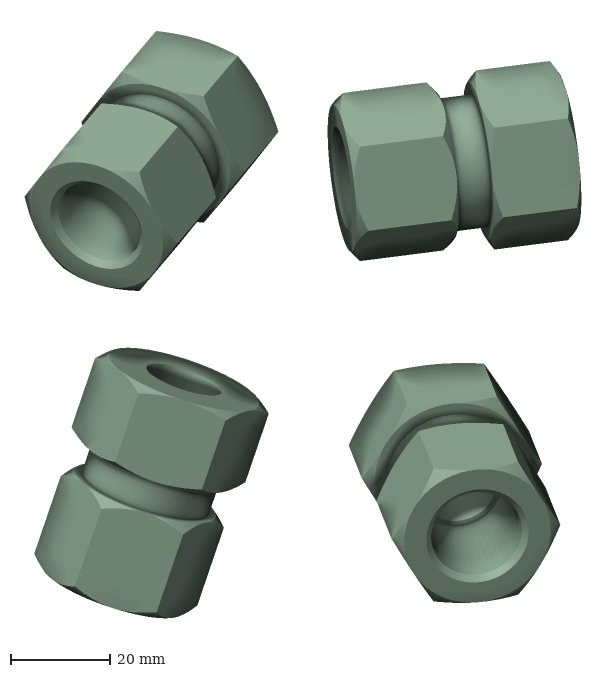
import cadquery as cq
import math

total_length = 46.0
small_flats = 30.0
small_length = 21.0
large_flats = 32.0
large_length = 18.0
neck_diameter = 27.0
small_chamfer_angle = 40.0
large_chamfer_angle = 30.0
bore_diameter = 16.0
socket_diameter = 18.6
mouth_diameter = 21.0
mouth_depth = 1.2
socket_depth = 23.0

front_y = -total_length / 2
back_y = total_length / 2
neck_length = total_length - small_length - large_length


def revolve_profile(points):
    """Revolve (radius, y) points around the Y axis."""
    return cq.Workplane("XY").polyline(points).close().revolve(360, (0, 0, 0), (0, 1, 0))


def chamfered_hex(start_y, length, flats, chamfer_angle):
    """Hexagonal bar along +Y, corners on X, with both ends turned to a cone."""
    corner_radius = flats / math.sqrt(3)
    face_radius = flats / 2
    chamfer_depth = (corner_radius - face_radius) * math.tan(math.radians(chamfer_angle))
    end_y = start_y + length
    bar = (
        cq.Workplane("XZ", origin=(0, start_y, 0))
        .polygon(6, 2 * corner_radius)
        .extrude(-length)
    )
    turned_envelope = revolve_profile([
        (0, start_y),
        (face_radius, start_y),
        (corner_radius, start_y + chamfer_depth),
        (corner_radius, end_y - chamfer_depth),
        (face_radius, end_y),
        (0, end_y),
    ])
    return bar.intersect(turned_envelope)


def neck():
    return (
        cq.Workplane("XZ", origin=(0, front_y + small_length, 0))
        .circle(neck_diameter / 2)
        .extrude(-neck_length)
    )


def stepped_bore():
    """Through bore with a wider socket and a chamfered mouth at the front."""
    shoulder_y = front_y + socket_depth
    return revolve_profile([
        (0, front_y),
        (mouth_diameter / 2, front_y),
        (socket_diameter / 2, front_y + mouth_depth),
        (socket_diameter / 2, shoulder_y),
        (bore_diameter / 2, shoulder_y),
        (bore_diameter / 2, back_y),
        (0, back_y),
    ])


small_nut = chamfered_hex(front_y, small_length, small_flats, small_chamfer_angle)
large_hex = chamfered_hex(back_y - large_length, large_length, large_flats, large_chamfer_angle)
result = small_nut.union(neck()).union(large_hex).cut(stepped_bore())